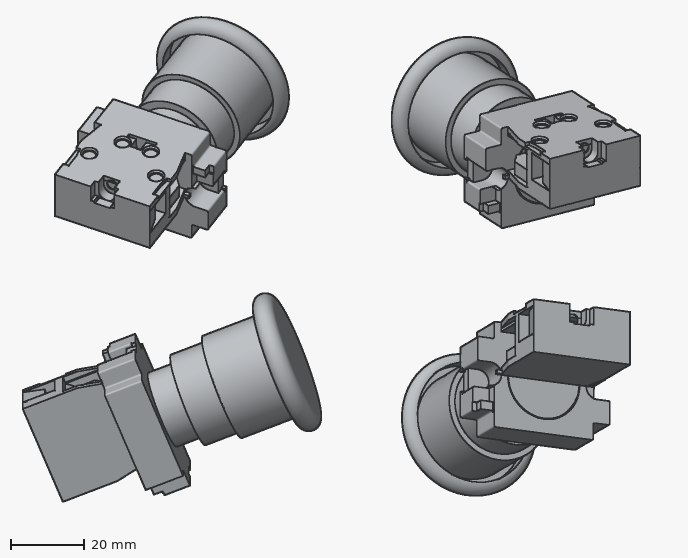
import cadquery as cq


CAP_RADIUS = 40.0 / 2
CAP_THICKNESS = 6.0
RIM_RADIUS = CAP_THICKNESS / 2
CAP_RECESS_DEPTH = 4.5
SLEEVE_RADIUS = 15.0
SLEEVE_REACH = 22.05
COLLAR_RADIUS = 13.3
COLLAR_REACH = 32.1
SHAFT_RADIUS = 10.9
TIP_CLEARANCE = 0.19
TIP_LENGTH = 0.75
BUTTON_HEAD = 39.7

BASE_DEPTH = 11.0
BASE_HALF = 15.0
WING_HALF_WIDTH = CAP_RADIUS
WING_HALF_HEIGHT = 10.1
BASE_FILLET = 0.49
NOTCH_HALF = 3.3
NOTCH_CENTRE = 16.1
NOTCH_WALL = 3.0
CHANNEL_BOTTOM = 19.0
CHANNEL_HALF = 2.85
CHANNEL_STEP = 1.1
WING_CUTBACK = 3.0
LATCH_GAP = 0.9
LATCH_BOTTOM = 7.65
LATCH_END = 18.6
LATCH_POCKET = 0.5

BLOCK_LENGTH = 24.3
BLOCK_HEIGHT = BASE_HALF
BLOCK_HALF = 29.2 / 2
NECK_HALF = 12.9
NECK_LENGTH = 8.25
TAB_LENGTH = 1.2
TAB_HEIGHT = 1.05

RECESS_LENGTH = 12.45
RECESS_WALL = NECK_HALF
RECESS_BOTTOM = 1.95
RECESS_STEP = 5.85
POCKET_TOP = 12.3
RECESS_TOP = 13.2
LOWER_POCKET_LENGTH = 3.45
UPPER_POCKET_LENGTH = 7.0
POCKET_SLOPE = 0.8

WINDOW_START = 14.85
WINDOW_END = 18.4
WINDOW_BOTTOM = 5.25
WINDOW_TOP = RECESS_TOP
FLARE_DEPTH = 1.4

GRIP_START = 11.6
GRIP_BEND = 14.6
GRIP_END = 19.3
GRIP_DEPTH = 1.0
GRIP_LEAD = 0.45

DIMPLE_RADIUS = 2.3
DIMPLE_FLOOR_RADIUS = 1.9
DIMPLE_CONE_DEPTH = 0.5
DIMPLE_DEPTH = 1.0
INNER_DIMPLE = (4.35, 3.75)
OUTER_DIMPLE = (10.3, 12.1)

TUNNEL_RADIUS = 2.5
TUNNEL_AXIS = 12.0
TUNNEL_LENGTH = 5.7
SLOT_HALF = 3.6
SLOT_LENGTH = 2.55
SLOT_BOTTOM = 10.0
GROOVE_TOP_HALF = 2.6
GROOVE_BOTTOM_HALF = 2.25
SCREW_RADIUS = 1.5
SCREW_AXIS = 12.5
SCREW_RECESS = 0.3
LEDGE_HALF = 4.3
LEDGE_LENGTH = 1.0
LEDGE_DEPTH = 1.0
REAR_GROOVE_END = 4.4


def box(x_range, y_range, z_range):
    """Box between the given limits, which may come in either order."""
    low, high = zip(*(sorted(limits) for limits in (x_range, y_range, z_range)))
    size = [b - a for a, b in zip(low, high)]
    return cq.Workplane("XY").box(*size, centered=False).translate(low)


def prism(outline, z_bottom, z_top):
    """Upright prism over a plan outline of (x, y) points."""
    return cq.Workplane("XY", origin=(0, 0, z_bottom)).polyline(outline).close().extrude(z_top - z_bottom)


def rod(radius, y_start, y_end, x=0.0, z=0.0):
    """Cylinder along Y from y_start down to y_end."""
    return cq.Workplane("XZ", origin=(x, y_start, z)).circle(radius).extrude(y_start - y_end)


def open_channel(radius, axis_height, y_start, y_end):
    """Round-bottomed channel along Y that is open at the top of the block."""
    upper = box((-radius, radius), (y_start, y_end), (axis_height, BLOCK_HEIGHT))
    return rod(radius, y_start, y_end, z=axis_height).union(upper)


def make_button():
    back = BASE_DEPTH + BUTTON_HEAD
    cap_front = back - CAP_THICKNESS
    sleeve_front = back - SLEEVE_REACH
    collar_front = back - COLLAR_REACH
    tip_radius = SHAFT_RADIUS - TIP_CLEARANCE
    rim_centre = CAP_RADIUS - RIM_RADIUS
    recess_floor = cap_front + CAP_RECESS_DEPTH
    return (
        cq.Workplane("XY")
        .moveTo(0, 0)
        .lineTo(tip_radius, 0)
        .lineTo(tip_radius, TIP_LENGTH)
        .lineTo(SHAFT_RADIUS, TIP_LENGTH)
        .lineTo(SHAFT_RADIUS, collar_front)
        .lineTo(COLLAR_RADIUS, collar_front)
        .lineTo(COLLAR_RADIUS, sleeve_front)
        .lineTo(SLEEVE_RADIUS, sleeve_front)
        .lineTo(SLEEVE_RADIUS, recess_floor)
        .lineTo(rim_centre, recess_floor)
        .lineTo(rim_centre, cap_front)
        .threePointArc((CAP_RADIUS, cap_front + RIM_RADIUS), (rim_centre, back))
        .lineTo(0, back)
        .close()
        .revolve(360, (0, 0, 0), (0, 1, 0))
    )


def cut_side_notch(base, side):
    """Round-ended notch in a wing, with a shallow channel behind it."""
    outside = side * WING_HALF_WIDTH
    channel_front = BASE_DEPTH - CHANNEL_STEP
    notch_depth = BASE_DEPTH - NOTCH_WALL
    wide = (-NOTCH_HALF, NOTCH_HALF)
    notch = rod(NOTCH_HALF, notch_depth, 0, x=side * NOTCH_CENTRE)
    notch = notch.union(box((side * NOTCH_CENTRE, outside), (0, notch_depth), wide))
    notch = notch.union(box((side * CHANNEL_BOTTOM, outside), (0, channel_front), wide))
    narrow = box((side * CHANNEL_BOTTOM, outside), (0, BASE_DEPTH), (-CHANNEL_HALF, CHANNEL_HALF))
    base = base.cut(notch).cut(narrow)
    for z in wide:
        mid_edge = (outside, channel_front / 2, z)
        base = base.edges(cq.selectors.NearestToPointSelector(mid_edge)).fillet(BASE_FILLET)
    return base


def cut_latch(base, side):
    """Shorten one wing half and leave a small latch; the two sides are half a turn apart."""
    inside = side * BASE_HALF
    outside = side * WING_HALF_WIDTH
    latch_end = side * LATCH_END
    latch_bottom = side * LATCH_BOTTOM
    latch_top = side * WING_HALF_HEIGHT
    fillet_top = side * (WING_HALF_HEIGHT + BASE_FILLET)
    notch_edge = side * NOTCH_HALF
    base = base.cut(box((inside, outside), (0, LATCH_GAP), (notch_edge, fillet_top)))
    base = base.cut(box((inside, outside), (0, WING_CUTBACK), (notch_edge, latch_bottom)))
    pocket_depth = WING_CUTBACK + LATCH_POCKET
    return base.cut(box((latch_end, outside), (0, pocket_depth), (latch_bottom, latch_top)))


def make_base():
    depth = (0, BASE_DEPTH)
    body = box((-BASE_HALF, BASE_HALF), depth, (-BASE_HALF, BASE_HALF))
    wings = box((-WING_HALF_WIDTH, WING_HALF_WIDTH), depth, (-WING_HALF_HEIGHT, WING_HALF_HEIGHT))
    base = body.union(wings).edges("|Y").fillet(BASE_FILLET)
    for side in (-1, 1):
        base = cut_side_notch(base, side)
        base = cut_latch(base, side)
    return base


def cut_side_recess(block, side):
    """Stepped recess beside the base, with two sloping corner pockets behind its wall."""
    wall = side * RECESS_WALL
    block = block.cut(box((wall, side * BLOCK_HALF), (0, -RECESS_LENGTH), (RECESS_BOTTOM, RECESS_TOP)))
    lower_tip = side * (RECESS_WALL - LOWER_POCKET_LENGTH * POCKET_SLOPE)
    lower_outline = [(wall, 0), (wall, -LOWER_POCKET_LENGTH), (lower_tip, 0)]
    block = block.cut(prism(lower_outline, RECESS_BOTTOM, RECESS_STEP))
    upper_wall = side * (RECESS_WALL - UPPER_POCKET_LENGTH * POCKET_SLOPE)
    upper_corner = UPPER_POCKET_LENGTH - RECESS_LENGTH
    upper_outline = [(wall, 0), (wall, -RECESS_LENGTH), (upper_wall, upper_corner), (upper_wall, 0)]
    return block.cut(prism(upper_outline, RECESS_STEP, POCKET_TOP))


def cut_window(block):
    """Window across the block, with a flare towards the front at both ends."""
    across = (-BLOCK_HALF, BLOCK_HALF)
    block = block.cut(box(across, (-WINDOW_START, -WINDOW_END), (WINDOW_BOTTOM, WINDOW_TOP)))
    for x in across:
        flare_bottom = x * (1 - FLARE_DEPTH / BLOCK_HALF)
        outline = [(x, -WINDOW_END), (flare_bottom, -WINDOW_END), (x, -BLOCK_LENGTH)]
        block = block.cut(prism(outline, WINDOW_BOTTOM, WINDOW_TOP))
    return block


def cut_grip(block, side):
    """Shallow notch in the top side edge."""
    edge = side * BLOCK_HALF
    wall = side * RECESS_WALL
    lead = side * (RECESS_WALL + GRIP_LEAD)
    outline = [
        (edge, -GRIP_START),
        (lead, -GRIP_START),
        (wall, -GRIP_BEND),
        (wall, -GRIP_END),
        (edge, -GRIP_END),
    ]
    return block.cut(prism(outline, BLOCK_HEIGHT - GRIP_DEPTH, BLOCK_HEIGHT))


def make_dimple(x, y):
    """Cutter for a conical recess with a short straight bottom."""
    return (
        cq.Workplane("XZ")
        .moveTo(0, BLOCK_HEIGHT)
        .lineTo(DIMPLE_RADIUS, BLOCK_HEIGHT)
        .lineTo(DIMPLE_FLOOR_RADIUS, BLOCK_HEIGHT - DIMPLE_CONE_DEPTH)
        .lineTo(DIMPLE_FLOOR_RADIUS, BLOCK_HEIGHT - DIMPLE_DEPTH)
        .lineTo(0, BLOCK_HEIGHT - DIMPLE_DEPTH)
        .close()
        .revolve(360, (0, 0, 0), (0, 1, 0))
        .translate((x, y, 0))
    )


def cut_front_slot(block):
    """Screwdriver slot, tunnel and screw recess at the front end."""
    front = -BLOCK_LENGTH
    slot_end = front + SLOT_LENGTH
    tunnel_end = front + TUNNEL_LENGTH
    groove_bottom = TUNNEL_AXIS - TUNNEL_RADIUS
    block = block.cut(box((-SLOT_HALF, SLOT_HALF), (front, slot_end), (SLOT_BOTTOM, BLOCK_HEIGHT)))
    groove_outline = [
        (-GROOVE_TOP_HALF, SLOT_BOTTOM),
        (GROOVE_TOP_HALF, SLOT_BOTTOM),
        (GROOVE_BOTTOM_HALF, groove_bottom),
        (-GROOVE_BOTTOM_HALF, groove_bottom),
    ]
    groove = cq.Workplane("XZ", origin=(0, slot_end, 0)).polyline(groove_outline).close().extrude(SLOT_LENGTH)
    block = block.cut(groove)
    block = block.cut(open_channel(TUNNEL_RADIUS, TUNNEL_AXIS, tunnel_end, front))
    return block.cut(rod(SCREW_RADIUS, tunnel_end + SCREW_RECESS, tunnel_end, z=SCREW_AXIS))


def make_rear_slot():
    """Cutter for the ledge, cross channel and screw groove next to the base."""
    ledge = box((-LEDGE_HALF, LEDGE_HALF), (0, -LEDGE_LENGTH), (BLOCK_HEIGHT - LEDGE_DEPTH, BLOCK_HEIGHT))
    channel = open_channel(TUNNEL_RADIUS, TUNNEL_AXIS, 0, -LEDGE_LENGTH)
    groove = open_channel(SCREW_RADIUS, SCREW_AXIS, -LEDGE_LENGTH, -REAR_GROOVE_END)
    return ledge.union(channel).union(groove)


def make_block():
    outline = [
        (NECK_HALF, 0),
        (BLOCK_HALF, -NECK_LENGTH),
        (BLOCK_HALF, -BLOCK_LENGTH),
        (-BLOCK_HALF, -BLOCK_LENGTH),
        (-BLOCK_HALF, -NECK_LENGTH),
        (-NECK_HALF, 0),
    ]
    block = prism(outline, 0, BLOCK_HEIGHT)
    block = block.union(box((-BLOCK_HALF, BLOCK_HALF), (0, -TAB_LENGTH), (0, TAB_HEIGHT)))
    for side in (-1, 1):
        block = cut_side_recess(block, side)
        block = cut_grip(block, side)
        for x, distance in (INNER_DIMPLE, OUTER_DIMPLE):
            block = block.cut(make_dimple(side * x, -distance))
    block = cut_window(block)
    block = cut_front_slot(block)
    return block.cut(make_rear_slot())


button = make_button()
shaft_bore = rod(SHAFT_RADIUS, BASE_DEPTH, 0)
contact_base = make_base().cut(shaft_bore).union(make_block())

result = cq.Compound.makeCompound([contact_base.val(), button.val()])